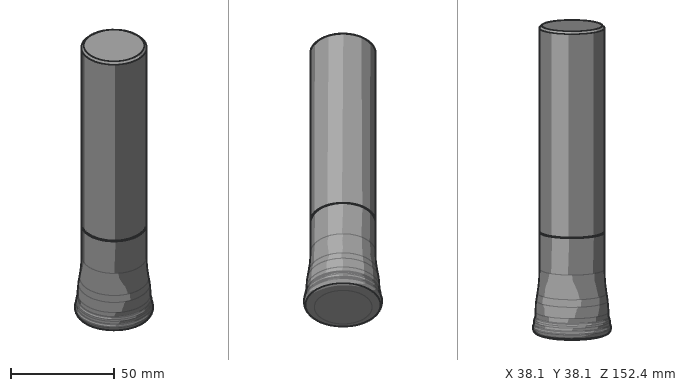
import cadquery as cq
import math

overall_length = 152.4
head_length = 50.8

barrel_radius = 15.875
tail_chamfer = 1.2

neck_radius = barrel_radius - 0.05
neck_top_chamfer = 0.4

flare_angle = math.radians(9)
neck_blend_top_z = 32.4
cone_top_z = 20.4
cone_bottom_z = 16.8
collar_top_z = 11.3
blend_gain = math.tan(flare_angle / 2)
cone_top_radius = neck_radius + (neck_blend_top_z - cone_top_z) * blend_gain
cone_bottom_radius = cone_top_radius + (cone_top_z - cone_bottom_z) * math.tan(flare_angle)
collar_radius = cone_bottom_radius + (cone_bottom_z - collar_top_z) * blend_gain

shoulder_top_z = 8.95
shoulder_steep_z, shoulder_steep_radius = 8.5, 17.9
shoulder_middle_z, shoulder_middle_radius = 7.6, 18.25
shoulder_bottom_z, shoulder_bottom_radius = 6.7, 18.45
waist_z, waist_radius = 5.3, 18.5
lip_top_z, lip_top_radius = 4.8, 18.6
lip_bottom_z, lip_bottom_radius = 4.0, 18.95
rim_radius = 38.1 / 2
rim_z = 3.5

rim_round_radius = 3.5
crease_z = 1.2
face_radius = 14.0
face_arc_middle = (16.4, 0.33)


def rim_round_point(angle):
    """Point on the rim rounding, turned inward by angle from the widest circle."""
    return (
        rim_radius - rim_round_radius * (1 - math.cos(angle)),
        rim_z - rim_round_radius * math.sin(angle),
    )


def make_head():
    crease_angle = math.asin((rim_z - crease_z) / rim_round_radius)
    profile = (
        cq.Workplane("XZ")
        .lineTo(face_radius, 0)
        .threePointArc(face_arc_middle, rim_round_point(crease_angle))
        .threePointArc(rim_round_point(crease_angle / 2), (rim_radius, rim_z))
        .lineTo(lip_bottom_radius, lip_bottom_z)
        .lineTo(lip_top_radius, lip_top_z)
        .lineTo(waist_radius, waist_z)
        .lineTo(shoulder_bottom_radius, shoulder_bottom_z)
        .lineTo(shoulder_middle_radius, shoulder_middle_z)
        .lineTo(shoulder_steep_radius, shoulder_steep_z)
        .lineTo(collar_radius, shoulder_top_z)
        .lineTo(collar_radius, collar_top_z)
        .tangentArcPoint((cone_bottom_radius, cone_bottom_z), relative=False)
        .lineTo(cone_top_radius, cone_top_z)
        .tangentArcPoint((neck_radius, neck_blend_top_z), relative=False)
        .lineTo(neck_radius, head_length - neck_top_chamfer)
        .lineTo(neck_radius - neck_top_chamfer, head_length)
        .lineTo(0, head_length)
        .close()
    )
    return profile.revolve(360, (0, 0), (0, 1))


def make_barrel():
    bar = (
        cq.Workplane("XY")
        .workplane(offset=head_length)
        .circle(barrel_radius)
        .extrude(overall_length - head_length)
    )
    return bar.faces(">Z").chamfer(tail_chamfer)


head = make_head()
barrel = make_barrel()

result = cq.Compound.makeCompound([head.val(), barrel.val()])